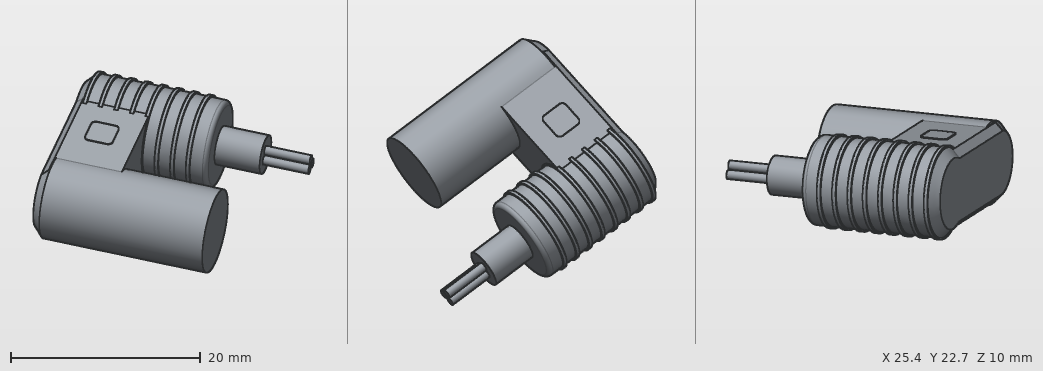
import cadquery as cq
import math

barrel_spacing = 13.2
end_chamfer = 1.0

socket_diameter = 9.0
socket_length = 19.0

grip_diameter = 9.6
grip_length = 15.4
grip_end_radius = 0.5

rib_diameter = 10.0
rib_width = 0.4
rib_count = 8
rib_span = 12.15
rib_pitch = rib_span / (rib_count - 1)

boot_diameter = 4.2
boot_end = 20.37

wire_diameter = 1.0
wire_end = 25.4
wire_count = 3
wire_circle_radius = 0.6

bridge_length = 8.25
bridge_half_height = 4.27
bridge_chamfer = 0.85
bevel_overrun = 0.7

pad_size = 3.05
pad_corner_radius = 0.5
pad_height = 0.1
pad_center_x = 4.4


def rod(diameter, start, end, y, z=0):
    """Round rod along X between two stations."""
    return (
        cq.Workplane("YZ", origin=(start, y, z))
        .circle(diameter / 2)
        .extrude(end - start)
    )


def make_socket():
    socket = rod(socket_diameter, 0, socket_length, 0)
    socket = socket.faces("<X").chamfer(end_chamfer)
    for side in (1, -1):
        bevel_cut = (
            cq.Workplane("XZ", origin=(0, -bevel_overrun, 0))
            .moveTo(0, side * (bridge_half_height - bridge_chamfer))
            .lineTo(bridge_chamfer, side * bridge_half_height)
            .lineTo(bridge_chamfer, side * socket_diameter / 2)
            .lineTo(0, side * socket_diameter / 2)
            .close()
            .extrude(-(bevel_overrun + socket_diameter / 2))
        )
        socket = socket.cut(bevel_cut)
    return socket


def make_grip():
    grip = rod(grip_diameter, 0, grip_length, barrel_spacing)
    grip = grip.faces("<X").chamfer(end_chamfer)
    grip = grip.faces(">X").edges().fillet(grip_end_radius)
    for index in range(rib_count):
        rib_start = end_chamfer + index * rib_pitch
        grip = grip.union(rod(rib_diameter, rib_start, rib_start + rib_width, barrel_spacing))
    return grip


def make_bridge():
    """Flat-sided web from axis to axis, beveled along its outer end."""
    bridge = cq.Workplane("XY").box(
        bridge_length, barrel_spacing, 2 * bridge_half_height, centered=(False, False, True)
    )
    return bridge.faces("<X").edges("|Y").chamfer(bridge_chamfer)


def make_pad():
    return (
        cq.Workplane("XY", origin=(pad_center_x, barrel_spacing / 2, 0))
        .rect(pad_size, pad_size)
        .extrude(bridge_half_height + pad_height)
        .edges("|Z")
        .fillet(pad_corner_radius)
    )


def make_cable():
    cable = rod(boot_diameter, grip_length - grip_end_radius, boot_end, barrel_spacing)
    for index in range(wire_count):
        angle = math.radians(90 + index * 360 / wire_count)
        wire_y = barrel_spacing + wire_circle_radius * math.cos(angle)
        wire_z = wire_circle_radius * math.sin(angle)
        cable = cable.union(rod(wire_diameter, boot_end, wire_end, wire_y, wire_z))
    return cable


result = make_bridge().union(make_socket()).union(make_grip()).union(make_pad()).union(make_cable())